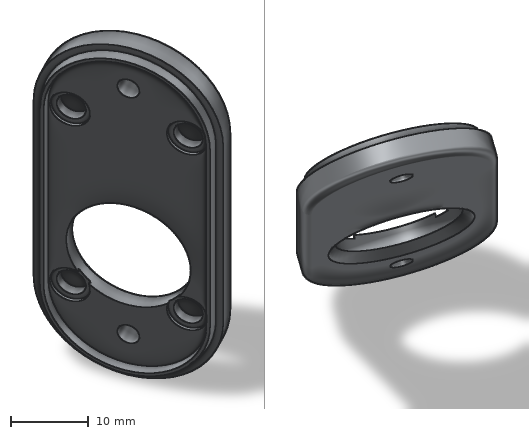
import cadquery as cq

LENGTH = 56.0
WIDTH = 26.0
TOTAL_DEPTH = 4.7
PLATE_DEPTH = 3.5
BACK_ROUND = 1.0

RING_OUTER_INSET = 1.0
TIP_OUTER_INSET = 1.35
TIP_INNER_INSET = 1.85
RING_INNER_INSET = 2.0

WINDOW_DIAMETER = 17.0
WINDOW_Z = -7.5
WINDOW_CHAMFER = 1.25
SCREW_DIAMETER = 3.0
SCREW_SPACING = 42.0

POCKET_DIAMETER = 4.0
POCKET_DEPTH = 2.0
POCKET_RIM_DIAMETER = 5.5
POCKET_RIM_DEPTH = 0.5
POCKET_SPACING_X = 16.0

FRONT_Y = -TOTAL_DEPTH / 2
BACK_Y = TOTAL_DEPTH / 2
PLATE_FRONT_Y = BACK_Y - PLATE_DEPTH

POCKET_SPACING_Z = LENGTH - WIDTH
SCREW_CENTRES = [(0, -SCREW_SPACING / 2), (0, SCREW_SPACING / 2)]
POCKET_CENTRES = [
    (x, z)
    for x in (-POCKET_SPACING_X / 2, POCKET_SPACING_X / 2)
    for z in (-POCKET_SPACING_Z / 2, POCKET_SPACING_Z / 2)
]


def plane_at(y):
    """Plane with local axes X and Z, facing the front (-Y)."""
    return cq.Workplane("XZ", origin=(0, y, 0))


def stadium(workplane, inset):
    """Plate outline moved inwards by inset."""
    return workplane.slot2D(LENGTH - 2 * inset, WIDTH - 2 * inset, 90)


def tapered(back_inset, front_inset):
    """Solid from the plate face to the ring tip, with sloping sides."""
    back = stadium(plane_at(PLATE_FRONT_Y), back_inset)
    front = stadium(back.workplane(offset=PLATE_FRONT_Y - FRONT_Y), front_inset)
    return front.loft(ruled=True)


def cylinders(centres, diameter, front_y, back_y):
    return plane_at(back_y).pushPoints(centres).circle(diameter / 2).extrude(back_y - front_y)


def make_plate():
    plate = stadium(plane_at(BACK_Y), 0).extrude(PLATE_DEPTH)
    plate = plate.faces(">Y").edges().fillet(BACK_ROUND)

    plate = plate.cut(cylinders([(0, WINDOW_Z)], WINDOW_DIAMETER, PLATE_FRONT_Y, BACK_Y))
    plate = plate.faces(">Y").wires(cq.selectors.LengthNthSelector(0)).chamfer(WINDOW_CHAMFER)

    plate = plate.cut(cylinders(SCREW_CENTRES, SCREW_DIAMETER, PLATE_FRONT_Y, BACK_Y))

    rim_back_y = PLATE_FRONT_Y + POCKET_RIM_DEPTH
    plate = plate.cut(cylinders(POCKET_CENTRES, POCKET_RIM_DIAMETER, PLATE_FRONT_Y, rim_back_y))
    pocket_back_y = PLATE_FRONT_Y + POCKET_DEPTH
    return plate.cut(cylinders(POCKET_CENTRES, POCKET_DIAMETER, PLATE_FRONT_Y, pocket_back_y))


def make_seal_ring():
    body = tapered(RING_OUTER_INSET, TIP_OUTER_INSET)
    opening = tapered(RING_INNER_INSET, TIP_INNER_INSET)
    return body.cut(opening)


plate = make_plate()
seal_ring = make_seal_ring()
result = cq.Compound.makeCompound([plate.val(), seal_ring.val()])